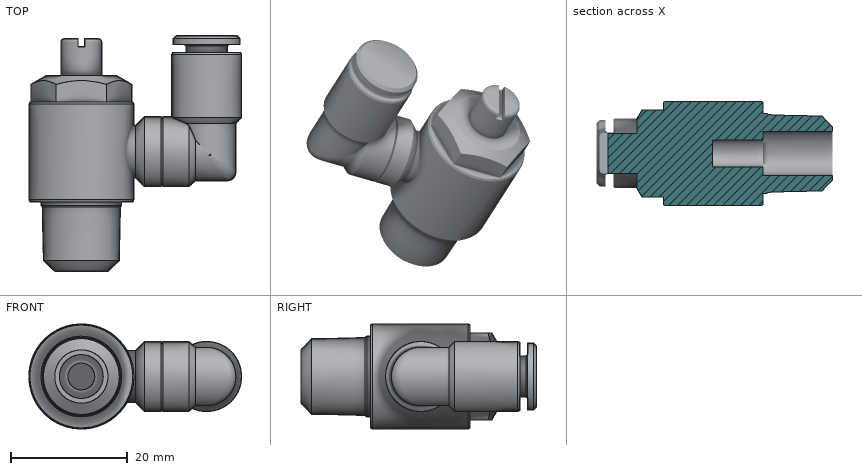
import cadquery as cq
import math


body_radius = 9.0
body_bottom = -8.6
body_top = 8.5
body_edge_height = 0.35
body_edge_width = 0.2

collar_radius = 6.9
collar_length = 0.6
collar_chamfer_length = 0.32
thread_start_radius = 6.7
thread_end_radius = 6.5
thread_length = 9.15
tip_radius = 4.55
tip_y = -20.52

bore_radius = 3.75
bore_end_y = body_bottom
orifice_radius = 2.3
orifice_end_y = 0

hex_across_flats = 15.0
hex_top = 13.0
hex_crown_radius = 6.05
hex_crown_angle = 30

stem_radius = 3.5
stem_top = 19.35
stem_edge_radius = 0.6
slot_width = 1.1
slot_depth = 1.37

neck_radius = 4.5
neck_fillet = 0.25
sleeve_diameter = 12.0
sleeve_radius = sleeve_diameter / 2
sleeve_start_x = 9.3
sleeve_end_x = 18.42
groove_x = 13.85
groove_width = 0.35
groove_depth = groove_width
elbow_radius = 5.0
elbow_corner_radius = 1.5
mitre_end_margin = 0.05
part_right_x = 27.47
outlet_x = part_right_x - sleeve_radius
branch_end_x = 19.55
outlet_start_y = 4.85
outlet_top = 17.0
outlet_edge_height = 0.35
outlet_edge_width = 0.2

button_neck_radius = 3.55
button_root_chamfer = 0.25
button_radius = 5.75
button_bottom = 18.35
button_top = 19.88
button_chamfer = 0.53


def turn_about_y(profile, axis_x=0):
    """Revolve (radius, y) points, closed along the axis, about a line parallel to Y."""
    outline = [(0, profile[0][1])] + profile + [(0, profile[-1][1])]
    solid = cq.Workplane("XY").polyline(outline).close().revolve(360, (0, 0), (0, 1))
    return solid.translate((axis_x, 0, 0))


def turn_about_x(profile):
    """Revolve (x, radius) points, closed along the axis, about X."""
    outline = [(profile[0][0], 0)] + profile + [(profile[-1][0], 0)]
    return cq.Workplane("XY").polyline(outline).close().revolve(360, (0, 0), (1, 0))


def make_body():
    rim_radius = body_radius - body_edge_width
    collar_end = body_bottom - collar_length
    thread_start = collar_end - collar_chamfer_length
    return turn_about_y([
        (tip_radius, tip_y),
        (thread_end_radius, thread_start - thread_length),
        (thread_start_radius, thread_start),
        (collar_radius, collar_end),
        (collar_radius, body_bottom),
        (rim_radius, body_bottom),
        (body_radius, body_bottom + body_edge_height),
        (body_radius, body_top - body_edge_height),
        (rim_radius, body_top),
    ])


def make_hex_nut():
    corner_radius = hex_across_flats / math.sqrt(3)
    crown_drop = (corner_radius - hex_crown_radius) * math.tan(math.radians(hex_crown_angle))
    prism = (
        cq.Workplane("XZ", origin=(0, body_top, 0))
        .polygon(6, 2 * corner_radius)
        .extrude(body_top - hex_top)
    )
    crown = turn_about_y([
        (corner_radius, body_top),
        (corner_radius, hex_top - crown_drop),
        (hex_crown_radius, hex_top),
    ])
    return prism.intersect(crown)


def make_stem():
    stem = turn_about_y([(stem_radius, body_top), (stem_radius, stem_top)])
    stem = stem.faces(">Y").edges().fillet(stem_edge_radius)
    slot = cq.Workplane("XY").box(slot_width, 2 * slot_depth, 2 * stem_radius)
    return stem.cut(slot.translate((0, stem_top, 0)))


def make_branch():
    """Neck and sleeve; the sleeve groove has a square wall on the body side and a 45 degree floor."""
    start_cone = sleeve_radius - neck_radius
    groove_start = groove_x - groove_width / 2
    groove_end = groove_x + groove_width / 2
    groove_radius = sleeve_radius - groove_depth
    return turn_about_x([
        (0, neck_radius),
        (sleeve_start_x, neck_radius),
        (sleeve_start_x + start_cone, sleeve_radius),
        (groove_start, sleeve_radius),
        (groove_start, groove_radius),
        (groove_end, sleeve_radius),
        (sleeve_end_x, sleeve_radius),
        (branch_end_x, elbow_radius),
    ])


def join_branch(body):
    """Join the branch to the body and round the seam where its neck enters."""
    joined = body.union(make_branch())
    seam_point = (math.sqrt(body_radius**2 - neck_radius**2), 0, neck_radius)
    seam = cq.selectors.NearestToPointSelector(seam_point)
    return joined.edges(seam).fillet(neck_fillet)


def make_elbow():
    """Two equal round arms mitred at the corner, with the outer mitre edge rounded."""
    run_x = outlet_x + elbow_radius - branch_end_x
    run_y = outlet_start_y + elbow_radius
    arm_x = cq.Workplane("YZ", origin=(branch_end_x, 0, 0)).circle(elbow_radius).extrude(run_x)
    arm_y_start = (outlet_x, outlet_start_y, 0)
    arm_y = cq.Workplane("XZ", origin=arm_y_start).circle(elbow_radius).extrude(run_y)
    far = 2 * (run_x + run_y)
    mitre_side = (
        cq.Workplane("XY")
        .polyline([(outlet_x - far, far), (outlet_x - far, -far), (outlet_x + far, -far)])
        .close()
        .extrude(far, both=True)
    )
    elbow = arm_x.intersect(mitre_side).union(arm_y.cut(mitre_side))

    rounded_height = 2 * (elbow_radius - mitre_end_margin)
    band = cq.Workplane("XY", origin=(outlet_x, 0, 0)).box(far, far, rounded_height)
    outer_edge = cq.selectors.NearestToPointSelector((outlet_x + elbow_radius, -elbow_radius, 0))
    rounded = elbow.intersect(band).edges(outer_edge).fillet(elbow_corner_radius)
    return elbow.cut(band).union(rounded)


def make_outlet():
    cone = sleeve_radius - elbow_radius
    return turn_about_y([
        (elbow_radius, outlet_start_y),
        (sleeve_radius, outlet_start_y + cone),
        (sleeve_radius, outlet_top - outlet_edge_height),
        (sleeve_radius - outlet_edge_width, outlet_top),
        (button_neck_radius, outlet_top),
        (button_neck_radius, button_bottom - button_root_chamfer),
        (button_neck_radius + button_root_chamfer, button_bottom),
        (button_radius, button_bottom),
        (button_radius, button_top - button_chamfer),
        (button_radius - button_chamfer, button_top),
    ], outlet_x)


def make_bore():
    return turn_about_y([
        (bore_radius, tip_y),
        (bore_radius, bore_end_y),
        (orifice_radius, bore_end_y),
        (orifice_radius, orifice_end_y),
    ])


result = join_branch(make_body())
result = result.union(make_hex_nut()).union(make_stem())
result = result.union(make_elbow()).union(make_outlet())
result = result.cut(make_bore())